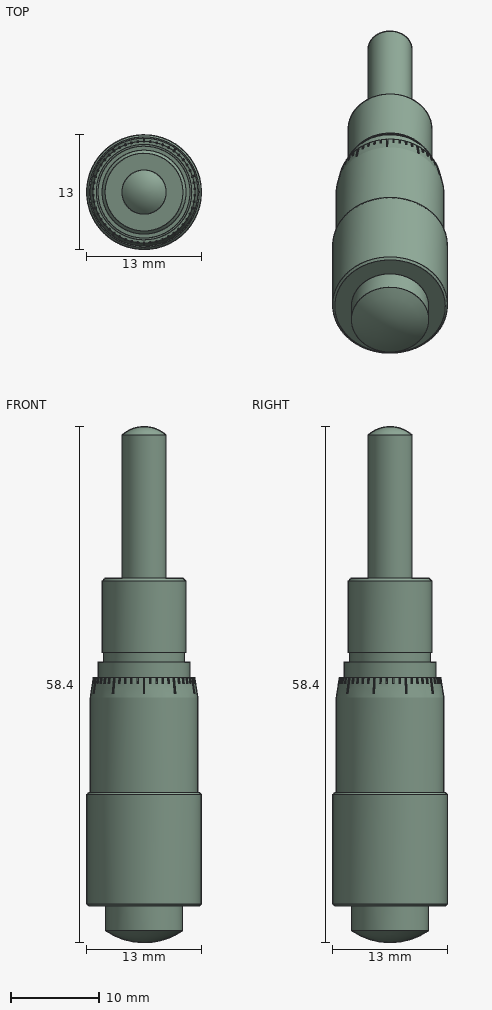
import cadquery as cq
import math

total_height = 58.39
cap_shoulder_z = 1.37
thimble_bottom_z = 4.15
grip_top_z = 17.0
bevel_bottom_z = 27.7
thimble_top_z = 30.0
sleeve_top_z = 31.75
neck_top_z = 32.8
barrel_top_z = 41.25

spindle_radius = 2.5
spindle_dome_radius = 3.75
cap_radius = 4.375
grip_radius = 6.5
thimble_radius = 6.1
bevel_top_radius = 5.75
barrel_radius = 4.75
neck_radius = 4.6
sleeve_radius = 5.2
thimble_bore_radius = 5.4

grip_chamfer = 0.25
barrel_chamfer = 0.35

division_count = 50
divisions_per_major = 5
short_mark_length = 0.7
long_mark_length = 1.8
mark_width = 0.15
mark_depth = 0.1

spindle_shoulder_z = (
    total_height - spindle_dome_radius
    + math.sqrt(spindle_dome_radius**2 - spindle_radius**2)
)
cap_dome_radius = (cap_radius**2 + cap_shoulder_z**2) / (2 * cap_shoulder_z)
sleeve_bottom_z = grip_top_z


def dome_midpoint(dome_radius, rim_radius, apex_z, up):
    """Point on a dome arc halfway, by angle, between its apex and its rim."""
    half_angle = math.asin(rim_radius / dome_radius) / 2
    drop = dome_radius * (1 - math.cos(half_angle))
    return dome_radius * math.sin(half_angle), apex_z - up * drop


def revolve_about_z(profile):
    return profile.close().revolve(360, (0, 0, 0), (0, 1, 0))


def make_graduations():
    """Radial marks running down the bevel from the top rim of the thimble."""
    bevel_height = thimble_top_z - bevel_bottom_z
    slope = (thimble_radius - bevel_top_radius) / bevel_height
    marks = []
    for division in range(division_count):
        is_major = division % divisions_per_major == 0
        length = long_mark_length if is_major else short_mark_length
        end_radius = bevel_top_radius + slope * length
        mark = (
            cq.Workplane("XZ")
            .moveTo(bevel_top_radius - mark_depth, thimble_top_z)
            .lineTo(bevel_top_radius + mark_depth, thimble_top_z)
            .lineTo(end_radius + mark_depth, thimble_top_z - length)
            .lineTo(end_radius - mark_depth, thimble_top_z - length)
            .close()
            .extrude(mark_width / 2, both=True)
            .rotate((0, 0, 0), (0, 0, 1), -90 + division * 360 / division_count)
        )
        marks.append(mark.val())
    return cq.Compound.makeCompound(marks)


def make_thimble_spindle():
    """Turning body: domed cap, grip, graduated thimble and central spindle."""
    profile = (
        cq.Workplane("XZ")
        .moveTo(0, 0)
        .threePointArc(
            dome_midpoint(cap_dome_radius, cap_radius, 0, -1),
            (cap_radius, cap_shoulder_z),
        )
        .lineTo(cap_radius, thimble_bottom_z)
        .lineTo(grip_radius - grip_chamfer, thimble_bottom_z)
        .lineTo(grip_radius, thimble_bottom_z + grip_chamfer)
        .lineTo(grip_radius, grip_top_z - grip_chamfer)
        .lineTo(grip_radius - grip_chamfer, grip_top_z)
        .lineTo(thimble_radius, grip_top_z)
        .lineTo(thimble_radius, bevel_bottom_z)
        .lineTo(bevel_top_radius, thimble_top_z)
        .lineTo(thimble_bore_radius, thimble_top_z)
        .lineTo(thimble_bore_radius, sleeve_bottom_z)
        .lineTo(spindle_radius, sleeve_bottom_z)
        .lineTo(spindle_radius, spindle_shoulder_z)
        .threePointArc(
            dome_midpoint(spindle_dome_radius, spindle_radius, total_height, 1),
            (0, total_height),
        )
    )
    return revolve_about_z(profile).cut(cq.Workplane(make_graduations()))


def make_barrel():
    """Fixed body: mounting barrel, neck and sleeve, bored for the spindle."""
    profile = (
        cq.Workplane("XZ")
        .moveTo(spindle_radius, sleeve_bottom_z)
        .lineTo(sleeve_radius, sleeve_bottom_z)
        .lineTo(sleeve_radius, sleeve_top_z)
        .lineTo(neck_radius, sleeve_top_z)
        .lineTo(neck_radius, neck_top_z)
        .lineTo(barrel_radius, neck_top_z)
        .lineTo(barrel_radius, barrel_top_z - barrel_chamfer)
        .lineTo(barrel_radius - barrel_chamfer, barrel_top_z)
        .lineTo(spindle_radius, barrel_top_z)
    )
    return revolve_about_z(profile)


thimble_spindle = make_thimble_spindle()
barrel = make_barrel()

result = cq.Compound.makeCompound([thimble_spindle.val(), barrel.val()])